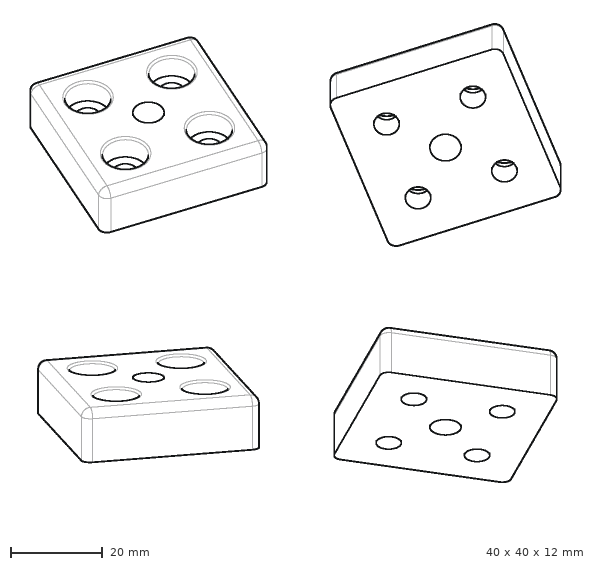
import cadquery as cq

side = 40.0
height = 12.0
edge_radius = 2.0

centre_hole_diameter = 6.8

screw_spacing = side / 2
screw_hole_diameter = 5.5
counterbore_diameter = 10.0
counterbore_depth = 5.6
rim_diameter = 11.0
rim_radius = (rim_diameter - counterbore_diameter) / 2


def rounded_block():
    """Square block on Z = 0 with its upright and top edges rounded; the bottom edges stay sharp."""
    block = cq.Workplane("XY").box(side, side, height, centered=(True, True, False))
    return block.edges("|Z or >Z").fillet(edge_radius)


def screw_hole_cutter():
    """Through hole and counterbore with a rounded rim, revolved about the Z axis."""
    floor_z = height - counterbore_depth
    return (
        cq.Workplane("XZ")
        .lineTo(screw_hole_diameter / 2, 0)
        .lineTo(screw_hole_diameter / 2, floor_z)
        .lineTo(counterbore_diameter / 2, floor_z)
        .lineTo(counterbore_diameter / 2, height - rim_radius)
        .radiusArc((rim_diameter / 2, height), rim_radius)
        .lineTo(0, height)
        .close()
        .revolve(360, (0, 0, 0), (0, 1, 0))
    )


result = rounded_block()
result = result.faces(">Z").workplane().hole(centre_hole_diameter)

for x in (-screw_spacing / 2, screw_spacing / 2):
    for y in (-screw_spacing / 2, screw_spacing / 2):
        result = result.cut(screw_hole_cutter().translate((x, y, 0)))